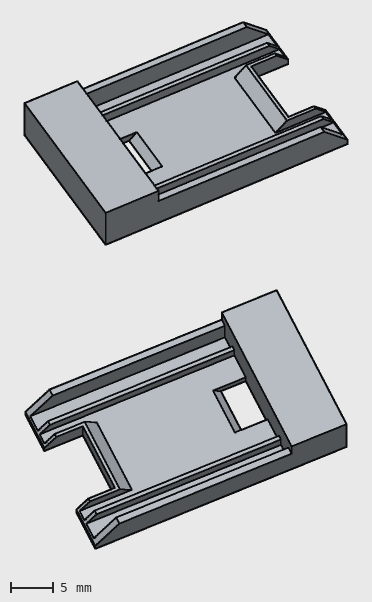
import cadquery as cq

width = 19.85
length = 32.83
block_height = 5.75
block_depth = 7.18

rail_height = 3.93
rail_width = 0.9
floor_thickness = 1.0
ridge_height = 2.35
ridge_width = 0.55
groove_width = 2.13

tip_height = 0.78
tip_slope_run = rail_height - tip_height

notch_width = 9.1
notch_depth = 5.03
rim_width = 0.45
ramp_run = 1.57

window_width = 6.2
window_length = 4.28
window_slope_run = 1.05

tray_length = length - block_depth
groove_outer_x = width / 2 - rail_width
ridge_outer_x = groove_outer_x - groove_width
ridge_inner_x = ridge_outer_x - ridge_width
notch_end_y = length - notch_depth
rim_inner_y = notch_end_y - rim_width
rim_outer_width = notch_width + 2 * rim_width


def extrude_across(points, across):
    """Extrude a (Y, Z) outline along X, centred on X = 0."""
    return cq.Workplane("YZ").polyline(points).close().extrude(across / 2, both=True)


def tray_bar(x_min, x_max, z_min, z_max):
    """Bar along the full tray, from the stop block to the free end."""
    return cq.Workplane("XY").box(
        x_max - x_min, tray_length, z_max - z_min, centered=False
    ).translate((x_min, block_depth, z_min))


def make_body():
    """Stop block with a solid tray behind it."""
    outline = [
        (0, 0),
        (length, 0),
        (length, rail_height),
        (block_depth, rail_height),
        (block_depth, block_height),
        (0, block_height),
    ]
    return extrude_across(outline, width)


def make_recess():
    """Space between the rails, interrupted by one ridge beside each groove."""
    recess = tray_bar(-groove_outer_x, groove_outer_x, floor_thickness, rail_height)
    for x_min in (-ridge_outer_x, ridge_inner_x):
        ridge = tray_bar(x_min, x_min + ridge_width, floor_thickness, ridge_height)
        recess = recess.cut(ridge)
    return recess


def make_rim():
    """Raised pad around the notch, ramping down to the floor."""
    outline = [
        (rim_inner_y - ramp_run, 0),
        (length, 0),
        (length, ridge_height),
        (rim_inner_y, ridge_height),
        (rim_inner_y - ramp_run, floor_thickness),
    ]
    return extrude_across(outline, rim_outer_width)


def make_notch():
    return cq.Workplane("XY").box(
        notch_width, notch_depth, rail_height, centered=(True, False, False)
    ).translate((0, notch_end_y, 0))


def make_window():
    """Through opening whose far wall slopes toward the block going down."""
    window_end_y = block_depth + window_length
    outline = [
        (block_depth, 0),
        (window_end_y - window_slope_run, 0),
        (window_end_y, floor_thickness),
        (block_depth, floor_thickness),
    ]
    return extrude_across(outline, window_width)


def make_tip_slope():
    """Wedge removed from the free end."""
    outline = [
        (length, tip_height),
        (length, rail_height),
        (length - tip_slope_run, rail_height),
    ]
    return extrude_across(outline, width)


result = (
    make_body()
    .cut(make_recess())
    .union(make_rim())
    .cut(make_notch())
    .cut(make_window())
    .cut(make_tip_slope())
)